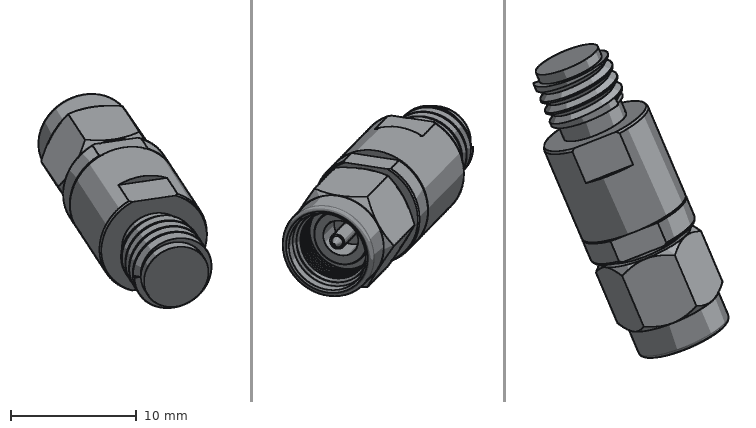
import cadquery as cq
LENGTH = 24.9

NUT_HEX_START = 2.5
NUT_END = 8.27
COLLAR_START = 8.72
COLLAR_END = 10.68
BODY_START = 10.8
BODY_FLAT_START = 15.89
BODY_END = 18.92
THREAD_START = 20.37
THREAD_END = 24.08

NOSE_RADIUS = 3.88
NOSE_ROUND = 0.32
HEX_ACROSS_CORNERS = 9.06
HEX_CHAMFER = 0.62
NECK_RADIUS = 3.25
GAP_RADIUS = 3.0
BODY_DIAMETER = 9.0
BODY_RADIUS = BODY_DIAMETER / 2
FLAT_HEIGHT = 4.0
COLLAR_CHAMFER_LENGTH = 0.17
BODY_CHAMFER_LENGTH = 0.22
EDGE_CHAMFER_DEPTH = 0.1
STUB_RADIUS = 2.7

THREAD_RADIUS = 3.2
GROOVE_ROOT_RADIUS = 2.71
GROOVE_WIDTH = 0.85
THREAD_PITCH = 1.0
GROOVE_TURNS = 3.6
GROOVE_OVERCUT = 0.05
GROOVE_END_ANGLE = 180

MOUTH_RADIUS = 3.49
MOUTH_CHAMFER_LENGTH = 0.1
ENTRY_RADIUS = 3.29
ENTRY_END = 0.87
RIDGE_CREST_RADIUS = 2.85
RIDGE_HEIGHT = 0.25
RIDGE_PITCH = 0.3
RIDGE_COUNT = 9

SLEEVE_RADIUS = 2.3
SLEEVE_CHAMFER = 0.05
SLEEVE_FRONT = 3.06
SLEEVE_BORE_RADIUS = 1.5
SLEEVE_BORE_END = 5.48
PIN_RADIUS = 0.62
PIN_SHOULDER = 2.3
PIN_CONE_RADIUS = 0.47
PIN_TIP_RADIUS = 0.1
PIN_TIP_LENGTH = 0.75


def revolve_about_x(outline):
    """Solid of revolution from a half outline of (x, radius) points."""
    return cq.Workplane("XY").polyline(outline).close().revolve(360, (0, 0, 0), (1, 0, 0))


def cylinder(start, end, radius):
    return cq.Workplane("YZ", origin=(start, 0, 0)).circle(radius).extrude(end - start)


def nut_shell():
    nose = cylinder(0, NUT_HEX_START, NOSE_RADIUS).faces("<X").edges().fillet(NOSE_ROUND)
    hexagon = (
        cq.Workplane("YZ", origin=(NUT_HEX_START, 0, 0))
        .polygon(6, HEX_ACROSS_CORNERS)
        .extrude(NUT_END - NUT_HEX_START)
    )
    corner_radius = HEX_ACROSS_CORNERS / 2
    chamfered_blank = cylinder(NUT_HEX_START, NUT_END, corner_radius).edges().chamfer(HEX_CHAMFER)
    return nose.union(hexagon.intersect(chamfered_blank))


def nut_bore():
    """Cavity of the nut and its depth: chamfered mouth, plain entry, then a stack of ridges."""
    outline = [
        (0, 0),
        (0, MOUTH_RADIUS),
        (MOUTH_CHAMFER_LENGTH, ENTRY_RADIUS),
        (ENTRY_END, ENTRY_RADIUS),
    ]
    for ridge in range(1, RIDGE_COUNT + 1):
        crest = ENTRY_END + ridge * RIDGE_PITCH
        crest_radius = (ENTRY_RADIUS + RIDGE_CREST_RADIUS) / 2 if ridge == 1 else RIDGE_CREST_RADIUS
        outline.append((crest - RIDGE_PITCH / 2, crest_radius + RIDGE_HEIGHT))
        outline.append((crest, crest_radius))
    depth = ENTRY_END + RIDGE_COUNT * RIDGE_PITCH
    outline.append((depth, 0))
    return revolve_about_x(outline), depth


def sleeve(base):
    return (
        cylinder(SLEEVE_FRONT, base, SLEEVE_RADIUS)
        .faces("<X").edges().chamfer(SLEEVE_CHAMFER)
    )


def pin():
    return revolve_about_x([
        (SLEEVE_BORE_END, 0),
        (SLEEVE_BORE_END, PIN_RADIUS),
        (PIN_SHOULDER, PIN_RADIUS),
        (PIN_SHOULDER, PIN_CONE_RADIUS),
        (PIN_SHOULDER - PIN_TIP_LENGTH, PIN_TIP_RADIUS),
        (PIN_SHOULDER - PIN_TIP_LENGTH, 0),
    ])


def barrel():
    """Neck, collar, gap, body and plain stub turned in one piece."""
    chamfer_radius = BODY_RADIUS - EDGE_CHAMFER_DEPTH
    return revolve_about_x([
        (NUT_END, 0),
        (NUT_END, NECK_RADIUS),
        (COLLAR_START, NECK_RADIUS),
        (COLLAR_START, chamfer_radius),
        (COLLAR_START + COLLAR_CHAMFER_LENGTH, BODY_RADIUS),
        (COLLAR_END, BODY_RADIUS),
        (COLLAR_END, GAP_RADIUS),
        (BODY_START, GAP_RADIUS),
        (BODY_START, BODY_RADIUS),
        (BODY_END - BODY_CHAMFER_LENGTH, BODY_RADIUS),
        (BODY_END, chamfer_radius),
        (BODY_END, STUB_RADIUS),
        (LENGTH, STUB_RADIUS),
        (LENGTH, 0),
    ])


def flat_cuts(start, end):
    """Material above and below the pair of flats between two stations."""
    depth = BODY_RADIUS - FLAT_HEIGHT
    cut = (
        cq.Workplane("XY", origin=((start + end) / 2, 0, FLAT_HEIGHT))
        .box(end - start, 2 * BODY_RADIUS, depth, centered=(True, True, False))
    )
    return cut.union(cut.mirror("XY"))


def thread():
    """Threaded ring whose groove runs out on the -Y side of its far end."""
    groove_length = GROOVE_TURNS * THREAD_PITCH
    groove_start = THREAD_END - groove_length
    flank_slope = GROOVE_WIDTH / 2 / (THREAD_RADIUS - GROOVE_ROOT_RADIUS)
    cutter_radius = THREAD_RADIUS + GROOVE_OVERCUT
    half_width = flank_slope * (cutter_radius - GROOVE_ROOT_RADIUS)

    helix = cq.Wire.makeHelix(THREAD_PITCH, groove_length, GROOVE_ROOT_RADIUS)
    groove = (
        cq.Workplane("XZ")
        .polyline([
            (GROOVE_ROOT_RADIUS, 0),
            (cutter_radius, half_width),
            (cutter_radius, -half_width),
        ])
        .close()
        .sweep(cq.Workplane(helix), isFrenet=True)
    )
    along_x = cq.Location(cq.Plane(origin=(groove_start, 0, 0), xDir=(0, 1, 0), normal=(1, 0, 0)))
    start_angle = GROOVE_END_ANGLE - 360 * GROOVE_TURNS
    groove = cq.Workplane(groove.val().moved(along_x)).rotate((0, 0, 0), (1, 0, 0), start_angle)
    ring = cylinder(THREAD_START, THREAD_END, THREAD_RADIUS).rotate((0, 0, 0), (1, 0, 0), 90)
    return ring.cut(groove)


bore, bore_depth = nut_bore()
nut = (
    nut_shell()
    .cut(bore)
    .union(sleeve(bore_depth))
    .cut(cylinder(SLEEVE_FRONT, SLEEVE_BORE_END, SLEEVE_BORE_RADIUS))
    .union(pin())
)
result = (
    barrel()
    .cut(flat_cuts(COLLAR_START, COLLAR_END))
    .cut(flat_cuts(BODY_FLAT_START, BODY_END))
    .union(thread())
    .union(nut)
)